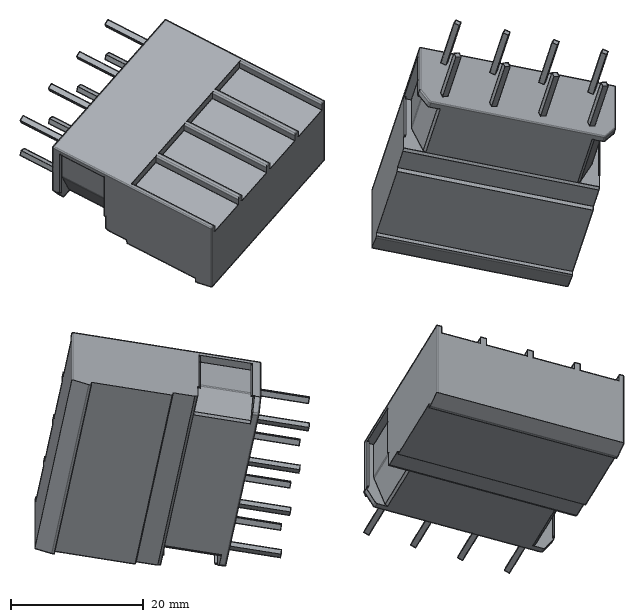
import cadquery as cq
import math


length = 37.0
width = 30.5
height = 14.3
edge_radius = 0.2

body_start = 8.03
front_base_z = 1.75
step_start_x = 17.75
step_full_x = 18.15
step_z = 1.48
foot_start_x = 21.45
foot_full_x = 21.65
foot_z = 0.78
lip_start_x = 34.0
lip_flat_end_x = 34.4
lip_end_z = 0.65

pin_side = 0.9
pin_twist = 20.0
pin_pitch = 7.62
pin_columns = 4
pin_row_low_z = 4.1
pin_row_high_z = pin_row_low_z + pin_pitch
pin_overlap = 0.37

recess_start = 22.0
recess_depth = 1.4
rib_width = 0.95
outer_rib_width = 0.8
rib_radius = 0.25

pocket_start = 9.03
pocket_end = 17.72
pocket_middle = (pocket_start + pocket_end) / 2
pocket_top_z = 13.4
pocket_depth = 1.2
pocket_bottom_depth = 3.05
slope_top_z = 6.77
crease_radius = 0.78
bottom_bevel_z = front_base_z + 0.3
bottom_bevel_width = 0.4
mouth_start = 9.55
mouth_end = 17.28
lip_thickness = 0.22
lip_bottom_z = 4.35

corner_cut_width = 1.55
corner_cut_top_z = 4.2
corner_radius = 0.4

half_width = width / 2


def make_housing():
    profile = [
        (body_start, height),
        (body_start, front_base_z),
        (step_start_x, front_base_z),
        (step_full_x, step_z),
        (foot_start_x, step_z),
        (foot_full_x, foot_z),
        (lip_start_x, foot_z),
        (lip_start_x, 0),
        (lip_flat_end_x, 0),
        (length, lip_end_z),
        (length, height),
    ]
    return cq.Workplane("XZ").polyline(profile).close().extrude(half_width, both=True)


def make_corner_cut(side):
    corner = [
        (side * half_width, corner_cut_top_z),
        (side * half_width, front_base_z),
        (side * (half_width - corner_cut_width), front_base_z),
    ]
    plane = cq.Workplane("YZ", origin=(body_start, 0, 0))
    return plane.polyline(corner).close().extrude(pocket_start - body_start)


def make_pocket(side):
    """Side pocket with a sloping floor, partly closed by a thin lip at each end."""
    outer_y = side * half_width
    lip_y = side * (half_width - lip_thickness)
    floor_y = side * (half_width - pocket_depth)
    bottom_y = side * (half_width - pocket_bottom_depth)
    section = [
        (outer_y, pocket_top_z),
        (floor_y, pocket_top_z),
        (floor_y, slope_top_z),
        (bottom_y, bottom_bevel_z),
        (bottom_y - side * bottom_bevel_width, front_base_z),
        (outer_y, front_base_z),
    ]
    plane = cq.Workplane("YZ", origin=(pocket_start, 0, 0))
    pocket = plane.polyline(section).close().extrude(pocket_end - pocket_start)
    crease = cq.selectors.NearestToPointSelector((pocket_middle, floor_y, slope_top_z))
    pocket = pocket.edges("|X").edges(crease).fillet(crease_radius)
    for end_x, lip_x in ((pocket_start, mouth_start), (pocket_end, mouth_end)):
        flare = math.copysign(lip_thickness, end_x - pocket_middle)
        lip = [(end_x, outer_y), (lip_x + flare, outer_y), (lip_x, lip_y), (end_x, lip_y)]
        plane = cq.Workplane("XY", origin=(0, 0, lip_bottom_z))
        pocket = pocket.cut(plane.polyline(lip).close().extrude(pocket_top_z - lip_bottom_z))
    return pocket


def make_recess(y_low, y_high):
    """Recess whose two long top edges are rounded over."""
    floor_z = height - recess_depth
    shoulder_z = height - rib_radius
    plane = cq.Workplane("YZ", origin=(recess_start, 0, 0))
    section = (
        plane.moveTo(y_low, floor_z)
        .lineTo(y_high, floor_z)
        .lineTo(y_high, shoulder_z)
        .radiusArc((y_high + rib_radius, height), rib_radius)
        .lineTo(y_low - rib_radius, height)
        .radiusArc((y_low, shoulder_z), rib_radius)
        .close()
    )
    return section.extrude(length - recess_start)


def make_pin(y, z, twist):
    pin = cq.Workplane("YZ").rect(pin_side, pin_side).extrude(body_start + pin_overlap)
    return pin.rotate((0, 0, 0), (1, 0, 0), twist).translate((0, y, z))


housing = make_housing()
for side in (-1, 1):
    housing = housing.cut(make_corner_cut(side))
    corner_point = (body_start, side * (half_width - corner_cut_width), front_base_z)
    corner_edge = cq.selectors.NearestToPointSelector(corner_point)
    housing = housing.edges("|X").edges(corner_edge).fillet(corner_radius)

housing = housing.edges("<X or >Z or (|Z and >X)").fillet(edge_radius)

for side in (-1, 1):
    housing = housing.cut(make_pocket(side))

column_offset = (pin_columns - 1) / 2
columns = [(i - column_offset) * pin_pitch for i in range(pin_columns)]

for y in columns:
    y_low = max(y - pin_pitch / 2 + rib_width / 2, -half_width + outer_rib_width)
    y_high = min(y + pin_pitch / 2 - rib_width / 2, half_width - outer_rib_width)
    housing = housing.cut(make_recess(y_low, y_high))

for y in columns:
    housing = housing.union(make_pin(y, pin_row_low_z, -pin_twist))
    housing = housing.union(make_pin(y, pin_row_high_z, pin_twist))

result = housing